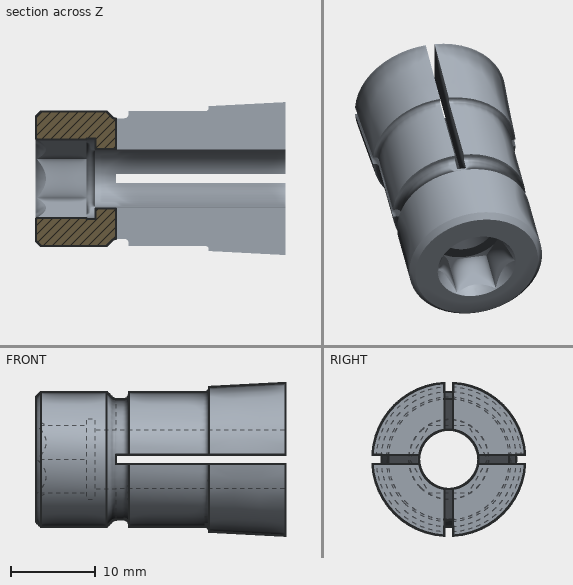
import cadquery as cq
import math

length = 29.5
head_end = 8.32
groove_end = 10.97
cone_start = 20.45

body_radius = 16.0 / 2
groove_radius = 14.3 / 2
cone_end_radius = 9.05
cone_angle = 3.0
face_chamfer = 0.62
shoulder_fillet = 0.53
groove_fillet = 0.5
cone_fillet = 0.38

bore_radius = 7.0 / 2
hex_across_flats = 8.0
hex_depth = 6.0
relief_radius = 9.5 / 2
relief_width = 1.0
countersink_radius = 9.38 / 2
countersink_half_angle = 30.0

slot_width = 1.05
slot_start = 9.47


def outer_body():
    """Revolve the stepped outline: head, relief groove, body and flared jaws."""
    diagonal = math.sqrt(0.5)
    blend_height = shoulder_fillet * (1 - diagonal)
    blend_start = head_end + body_radius - groove_radius - blend_height
    blend_end = blend_start + shoulder_fillet * diagonal
    blend_centre_radius = groove_radius + shoulder_fillet
    blend_mid_angle = math.radians(22.5)
    blend_middle = (
        blend_end - shoulder_fillet * math.sin(blend_mid_angle),
        blend_centre_radius - shoulder_fillet * math.cos(blend_mid_angle),
    )
    cone_rise = (length - cone_start) * math.tan(math.radians(cone_angle))
    cone_start_radius = cone_end_radius - cone_rise
    outline = (
        cq.Workplane("XY")
        .lineTo(0, body_radius - face_chamfer)
        .lineTo(face_chamfer, body_radius)
        .lineTo(head_end, body_radius)
        .lineTo(blend_start, groove_radius + blend_height)
        .threePointArc(blend_middle, (blend_end, groove_radius))
        .lineTo(groove_end - groove_fillet, groove_radius)
        .radiusArc((groove_end, groove_radius + groove_fillet), -groove_fillet)
        .lineTo(groove_end, body_radius)
        .lineTo(cone_start - cone_fillet, body_radius)
        .radiusArc((cone_start, body_radius + cone_fillet), -cone_fillet)
        .lineTo(cone_start, cone_start_radius)
        .lineTo(length, cone_end_radius)
        .lineTo(length, 0)
        .close()
    )
    return outline.revolve(360, (0, 0, 0), (1, 0, 0))


def through_bore():
    """Round hole along the whole axis."""
    return cq.Workplane("YZ").circle(bore_radius).extrude(length)


def hex_socket():
    """Hexagon with corners on the Y axis and flats facing up and down."""
    across_corners = hex_across_flats / math.cos(math.radians(30))
    return cq.Workplane("YZ").polygon(6, across_corners).extrude(hex_depth)


def socket_relief():
    """Round undercut at the inner end of the hexagon, just clear of its corners."""
    return cq.Workplane("YZ", origin=(hex_depth, 0, 0)).circle(relief_radius).extrude(relief_width)


def socket_countersink():
    """Cone that leads into the hexagon from the head face."""
    depth = countersink_radius / math.tan(math.radians(countersink_half_angle))
    return cq.Workplane(
        cq.Solid.makeCone(countersink_radius, 0, depth, dir=cq.Vector(1, 0, 0))
    )


def jaw_slots():
    """Two crossing slots that split the sleeve into four jaws."""
    slot_length = length - slot_start
    slot_span = 3 * cone_end_radius
    slot_middle = (slot_start + slot_length / 2, 0, 0)
    flat_slot = cq.Workplane("XY", origin=slot_middle).box(slot_length, slot_span, slot_width)
    return flat_slot.union(flat_slot.rotate((0, 0, 0), (1, 0, 0), 90))


result = (
    outer_body()
    .cut(through_bore())
    .cut(hex_socket())
    .cut(socket_relief())
    .cut(socket_countersink())
    .cut(jaw_slots())
)